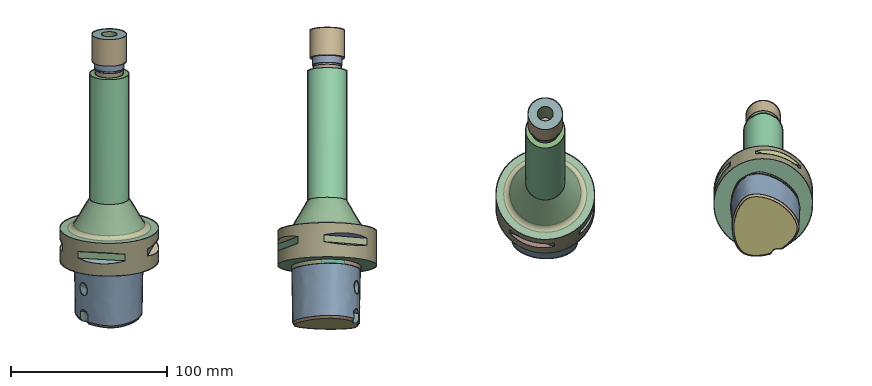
import cadquery as cq
import math

total_height = 190.4
flange_bottom = 38.0
flange_top = 60.2
cone_top = 80.0
shaft_top = 164.0
neck_top = 166.8
collar_bottom = 168.0
head_bottom = 172.5

flange_diameter = 63.0
flange_radius = flange_diameter / 2
shaft_radius = 12.5
neck_radius = 9.0
relief_radius = 8.4
collar_radius = 9.5
head_radius = 11.0

cone_half_angle = math.radians(30)
fillet_radius = 4.4

bore_radius = 5.0
bore_depth = total_height - head_bottom

lobe_height = 1.5
outline_points = 48
shank_top_radius = 21.9
shank_bottom_radius = 21.3
shank_top = 35.5
end_chamfer_height = 1.7
end_chamfer_inset = 1.1
shank_neck_radius = 22.3
shank_neck_round = 22.7

slot_count = 4
slot_first_angle = 45
slot_middle = 50.0
slot_floor_distance = 27.6
slot_floor_height = 4.4
slot_mouth_height = 7.6

dimple_radius = 4.2
dimple_tip_height = 2.3
dimple_height = 22.7
notch_radius = 5.0
notch_tip_height = 4.4
notch_axis_offset = 2.5
notch_straight_height = 6.5
flat_distance = shank_bottom_radius - lobe_height


def turned_body():
    """Flange, cone, shaft and head revolved about Z from one half profile."""
    cone_foot = shaft_radius + (cone_top - flange_top) * math.tan(cone_half_angle)
    turn = math.pi / 2 - cone_half_angle
    tangent = fillet_radius * math.tan(turn / 2)
    fillet_end = cone_foot + tangent
    fillet_start = (
        cone_foot - tangent * math.sin(cone_half_angle),
        flange_top + tangent * math.cos(cone_half_angle),
    )
    fillet_middle = (
        fillet_end - fillet_radius * math.sin(turn / 2),
        flange_top + fillet_radius * (1 - math.cos(turn / 2)),
    )
    profile = (
        cq.Workplane("XZ")
        .moveTo(0, flange_bottom)
        .lineTo(flange_radius, flange_bottom)
        .lineTo(flange_radius, flange_top)
        .lineTo(fillet_end, flange_top)
        .threePointArc(fillet_middle, fillet_start)
        .lineTo(shaft_radius, cone_top)
        .lineTo(shaft_radius, shaft_top)
        .lineTo(neck_radius, shaft_top)
        .lineTo(neck_radius, neck_top)
        .lineTo(relief_radius, collar_bottom)
        .lineTo(collar_radius, collar_bottom)
        .lineTo(collar_radius, head_bottom)
        .lineTo(head_radius, head_bottom)
        .lineTo(head_radius, total_height)
        .lineTo(0, total_height)
        .close()
    )
    return profile.revolve(360, (0, 0, 0), (0, 1, 0))


def lobed_outline(workplane, mean_radius):
    """Constant-width curve with three lobes, one of them on +Y and a flat on -Y."""

    def point(t):
        angle = 2 * math.pi * t
        support = mean_radius - lobe_height * math.sin(3 * angle)
        slope = -3 * lobe_height * math.cos(3 * angle)
        x = support * math.cos(angle) - slope * math.sin(angle)
        y = support * math.sin(angle) + slope * math.cos(angle)
        return (x, y)

    points = [point(index / outline_points) for index in range(outline_points)]
    return workplane.spline(points, periodic=True).close()


def lobed_taper(start, end, start_radius, end_radius):
    """Solid between two lobed outlines at heights start and end."""
    lower = lobed_outline(cq.Workplane("XY").workplane(offset=start), start_radius)
    upper = lobed_outline(lower.workplane(offset=end - start), end_radius)
    return upper.loft(ruled=True, combine=True)


def shank():
    end_radius = shank_bottom_radius - end_chamfer_inset
    chamfered_end = lobed_taper(0, end_chamfer_height, end_radius, shank_bottom_radius)
    taper = lobed_taper(end_chamfer_height, shank_top, shank_bottom_radius, shank_top_radius)
    neck_length = flange_bottom - shank_top
    neck_plane = cq.Workplane("XY").workplane(offset=shank_top)
    neck = lobed_outline(neck_plane, shank_neck_radius).extrude(neck_length)
    neck = neck.intersect(neck_plane.circle(shank_neck_round).extrude(neck_length))
    return chamfered_end.union(taper).union(neck)


def gripper_slot(angle):
    """Flared slot across the flange, facing outward at the given angle."""
    floor_half = slot_floor_height / 2
    mouth_half = slot_mouth_height / 2
    return (
        cq.Workplane("XZ")
        .moveTo(slot_floor_distance, slot_middle - floor_half)
        .lineTo(flange_radius, slot_middle - mouth_half)
        .lineTo(flange_radius, slot_middle + mouth_half)
        .lineTo(slot_floor_distance, slot_middle + floor_half)
        .close()
        .extrude(flange_radius, both=True)
        .rotate((0, 0, 0), (0, 0, 1), angle)
    )


def drill(radius, straight_length, tip_height):
    """Drill shape along +Z: a cylinder ending in a conical tip."""
    return (
        cq.Workplane("XZ")
        .lineTo(radius, 0)
        .lineTo(radius, straight_length)
        .lineTo(0, straight_length + tip_height)
        .close()
        .revolve(360, (0, 0, 0), (0, 1, 0))
    )


def dimple():
    """Shallow drill point going into the flat side along +Y."""
    tool = drill(dimple_radius, dimple_radius, dimple_tip_height).rotate((0, 0, 0), (1, 0, 0), -90)
    return tool.translate((0, -flat_distance - dimple_radius, dimple_height))


def end_notch():
    """Shallow round notch drilled up the flat side from the shank end."""
    tool = drill(notch_radius, notch_straight_height, notch_tip_height)
    return tool.translate((0, -flat_distance - notch_axis_offset, 0))


head_bore = (
    cq.Workplane("XY")
    .workplane(offset=total_height - bore_depth)
    .circle(bore_radius)
    .extrude(bore_depth)
)

result = turned_body().union(shank()).cut(head_bore)
for slot_index in range(slot_count):
    result = result.cut(gripper_slot(slot_first_angle + slot_index * 360 / slot_count))
result = result.cut(dimple()).cut(end_notch())